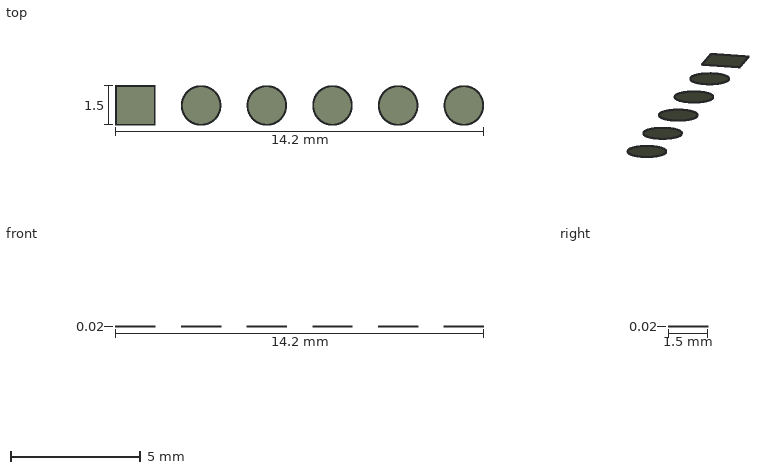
import cadquery as cq

row_length = 14.2
pad_width = 1.5
pad_thickness = 0.02
pad_count = 6

pitch = (row_length - pad_width) / (pad_count - 1)


def make_square_pad():
    """Square pad centred on the origin, with its underside at Z = 0."""
    return cq.Workplane("XY").rect(pad_width, pad_width).extrude(pad_thickness)


def make_round_pad(position):
    """Round pad at the given number of pitches along X from the square pad."""
    return (
        cq.Workplane("XY")
        .center(position * pitch, 0)
        .circle(pad_width / 2)
        .extrude(pad_thickness)
    )


square_pad = make_square_pad()
round_pads = [make_round_pad(position) for position in range(1, pad_count)]

result = cq.Compound.makeCompound([square_pad.val(), *[pad.val() for pad in round_pads]])